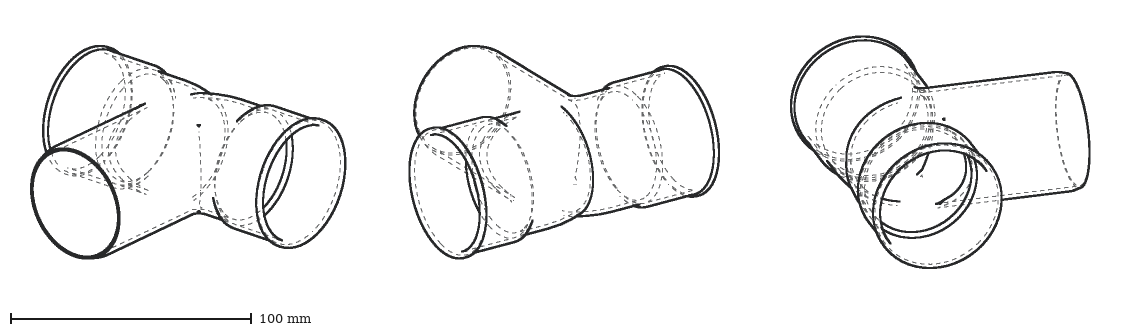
import cadquery as cq
import math

pipe_radius = 25.0
bore_diameter = 46.4
bore_radius = bore_diameter / 2
bend_radius = 16.0

half_length = 59.0
socket_bore_radius = pipe_radius
socket_radius = 26.8
rim_diameter = 55.6
rim_radius = rim_diameter / 2
rim_width = 2.2
rim_round = 0.6
mouth_round = 1.0
socket_start = 32.5
shoulder_start = socket_start - (socket_radius - pipe_radius)
shoulder_blend = 1.2
socket_bore_end = socket_start
socket_floor = socket_bore_end - (socket_bore_radius - bore_radius)
neck_start = 28.3

overall_depth = 104.3
branch_length = overall_depth - rim_radius
spigot_taper_length = 3.7
spigot_taper_depth = 1.0
spigot_blend = 4.7

crotch_round = 1.1
mitre_start = 7.1


def left_half_space():
    """Block filling everything on the -X side of the X = 0 plane."""
    size = 2 * branch_length
    return cq.Workplane("XY").box(size, size, size).translate((-size / 2, 0, 0))


def straight_pipes(radius, start):
    """Solid -X half of the run and the whole branch, both beginning at a distance from the centre."""
    run_half = cq.Workplane("YZ", origin=(-start, 0, 0)).circle(radius).extrude(start - half_length)
    branch = cq.Workplane("XZ", origin=(0, -start, 0)).circle(radius).extrude(branch_length - start)
    return run_half.union(branch)


def quarter_bend(radius):
    """Pipe section turned from the branch to the -X run, keeping only the part outside its axis."""
    half_chord = math.sqrt(radius**2 - bend_radius**2)
    return (
        cq.Workplane("XZ", origin=(-bend_radius, -bend_radius, 0))
        .moveTo(0, -half_chord)
        .threePointArc((bend_radius + radius, 0), (0, half_chord))
        .close()
        .revolve(90, (0, 0, 0), (0, 1, 0))
    )


def tee_core(radius, mitre_round=0):
    """Solid tee: two mirrored halves, each a quarter bend with straight pipes mitred at its inside."""
    if mitre_round:
        pipes = straight_pipes(radius, mitre_start)
        corner = (mitre_start + radius) / 2
        crotch = cq.selectors.BoxSelector((-radius, -radius, -radius), (-corner, -corner, radius))
        pipes = pipes.edges(crotch).edges("%ELLIPSE").fillet(mitre_round)
        bend_room = cq.Workplane("XY").box(
            branch_length, branch_length, branch_length, centered=(False, False, True)
        ).translate((-bend_radius, -bend_radius, 0))
        pipes = pipes.cut(bend_room)
    else:
        pipes = straight_pipes(radius, bend_radius)
    half = pipes.union(quarter_bend(radius)).intersect(left_half_space())
    return half.union(half.mirror("YZ"))


def socket_outside():
    """Solid socket on the +X end with a sloping, blended shoulder and a rounded rim."""
    body = (
        cq.Workplane("XY")
        .moveTo(neck_start, 0)
        .lineTo(neck_start, pipe_radius)
        .lineTo(shoulder_start, pipe_radius)
        .lineTo(socket_start, socket_radius)
        .lineTo(half_length - rim_width / 2, socket_radius)
        .lineTo(half_length - rim_width / 2, 0)
        .close()
        .revolve(360, (0, 0, 0), (1, 0, 0))
    )
    shoulder = cq.selectors.BoxSelector(
        (shoulder_start - shoulder_blend, -rim_radius, -rim_radius),
        (socket_start + shoulder_blend, rim_radius, rim_radius),
    )
    body = body.edges(shoulder).edges("%CIRCLE").fillet(shoulder_blend)
    rim = (
        cq.Workplane("YZ", origin=(half_length, 0, 0))
        .circle(rim_radius)
        .extrude(-rim_width)
        .edges("%CIRCLE")
        .fillet(rim_round)
    )
    return body.union(rim)


def socket_bore():
    """Cavity of the socket on the +X end, narrowing to the pipe bore and flared at the mouth."""
    mouth_radius = socket_bore_radius + mouth_round
    arc_offset = mouth_round * math.sqrt(0.5)
    return (
        cq.Workplane("XY")
        .moveTo(socket_floor, 0)
        .lineTo(socket_floor, bore_radius)
        .lineTo(socket_bore_end, socket_bore_radius)
        .lineTo(half_length - mouth_round, socket_bore_radius)
        .threePointArc(
            (half_length - mouth_round + arc_offset, mouth_radius - arc_offset),
            (half_length, mouth_radius),
        )
        .lineTo(half_length, 0)
        .close()
        .revolve(360, (0, 0, 0), (1, 0, 0))
    )


def taper_spigot(body):
    """Taper the free end of the branch and blend the start of the taper."""
    tapered = body.faces("<Y").edges().chamfer(spigot_taper_length, spigot_taper_depth)
    margin = spigot_taper_length / 4
    taper_y = spigot_taper_length - branch_length
    taper_start = cq.selectors.BoxSelector(
        (-rim_radius, taper_y - margin, -rim_radius),
        (rim_radius, taper_y + margin, rim_radius),
    )
    return tapered.edges(taper_start).edges("%CIRCLE").fillet(spigot_blend)


outside = tee_core(pipe_radius, crotch_round)
inside = tee_core(bore_radius)
for socket in (socket_outside(), socket_outside().mirror("YZ")):
    outside = outside.union(socket)
for cavity in (socket_bore(), socket_bore().mirror("YZ")):
    inside = inside.union(cavity)
result = taper_spigot(outside).cut(inside)